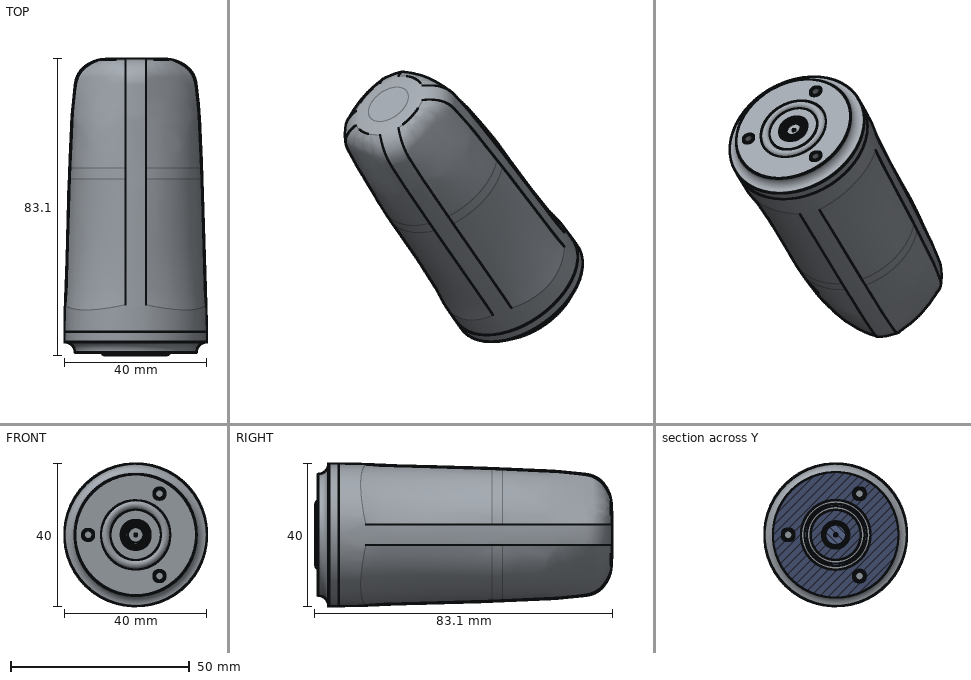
import cadquery as cq
import math


overall_length = 83.09
body_radius = 20.0
plate_face_y = 0.7
cap_flange_back_y = 3.95
ring_back_y = 6.7

waist_stations = [
    (15.5, 19.80, 19.50),
    (21.5, 19.52, 18.85),
    (28.0, 19.35, 18.45),
    (35.0, 19.17, 18.30),
    (42.0, 18.98, 18.38),
    (49.4, 18.73, 18.50),
]
nose_stations = [
    (52.4, 18.60, 18.42),
    (55.2, 18.49, 18.26),
    (58.0, 18.37, 18.02),
    (63.5, 18.13, 17.50),
    (69.0, 17.80, 16.60),
    (74.0, 17.30, 15.50),
    (78.0, 16.45, 14.50),
    (80.6, 14.50, 13.20),
]
nose_crown = (11.90, 82.2)
nose_flat_radius = 6.3
rib_half_width = 2.9
rib_edge_step = 0.1

waist_run_out = (10.0, 21.10, 20.35)
nose_run_out = (83.2, 9.00, 9.00)
hollow_cutter_radius = 30.0

cap_face_radius = 17.1
cap_edge_chamfer = 0.2
cap_cove_start_y = 1.0
cap_flange_face_y = 3.6
cap_flange_face_radius = 19.7
spigot_radius = 17.0

ring_chamfer = 0.15

o_ring_section = 2.65
o_ring_center_radius = 8.375

insert_count = 3
insert_circle_radius = 13.3
insert_radius = 1.7
insert_bore_radius = 1.25
insert_length = 5.0

well_radius = 3.75
well_mouth_radius = 4.2
connector_radius = 3.2
thread_root_radius = 2.8
thread_pitch = 0.7
thread_groove_count = 5
dielectric_radius = 2.2
dielectric_recess = 0.6
contact_hole_radius = 0.4
contact_hole_depth = 2.5
connector_face_y = plate_face_y
well_floor_y = 5.2


def disc(radius, y_start, y_end):
    """Solid cylinder about the Y axis."""
    plane = cq.Workplane("XZ", origin=(0, y_start, 0))
    return plane.circle(radius).extrude(y_start - y_end)


def spin(profile):
    """Turn a closed (radius, Y) profile around the Y axis."""
    return profile.revolve(360, (0, 0, 0), (0, 1, 0))


def hollow_section(y, rib_radius, depth):
    """Cutter outline at y: an arc from rib edge to rib edge, closed outside the shell."""
    reach = math.sqrt((rib_radius - rib_edge_step) ** 2 - rib_half_width**2)
    diagonal = depth * math.cos(math.pi / 4)
    return (
        cq.Workplane("XZ", origin=(0, y, 0))
        .moveTo(reach, rib_half_width)
        .threePointArc((diagonal, diagonal), (rib_half_width, reach))
        .lineTo(rib_half_width, hollow_cutter_radius)
        .lineTo(hollow_cutter_radius, hollow_cutter_radius)
        .lineTo(hollow_cutter_radius, rib_half_width)
        .close()
        .val()
    )


def hollow_cutter(stations):
    """Smooth loft through the cutter outlines, in the quarter between the +X and one Z rib."""
    return cq.Workplane(cq.Solid.makeLoft([hollow_section(*station) for station in stations]))


def make_shell():
    """Ribbed body: a turned blank, hollowed between its four ribs."""
    rib_points = [(rib_radius, y) for y, rib_radius, _ in waist_stations + nose_stations]
    blank = spin(
        cq.Workplane("XY")
        .moveTo(0, ring_back_y)
        .lineTo(body_radius, ring_back_y)
        .spline(
            rib_points + [nose_crown, (nose_flat_radius, overall_length)],
            tangents=[(0, 1), (-1, 0)],
            includeCurrent=True,
        )
        .lineTo(0, overall_length)
        .close()
    )
    waist = [waist_run_out] + waist_stations
    ridge = [waist_stations[-1], nose_stations[0]]
    nose = nose_stations + [nose_run_out]
    shell = blank
    for stations in (waist, ridge, nose):
        cutter = hollow_cutter(stations)
        for quarter in range(4):
            shell = shell.cut(cutter.rotate((0, 0, 0), (0, 1, 0), 90 * quarter))
    return shell


def make_trim_ring():
    ring = disc(body_radius, cap_flange_back_y, ring_back_y)
    ring = ring.faces(">Y").edges().chamfer(ring_chamfer)
    return ring.cut(disc(spigot_radius, cap_flange_back_y, ring_back_y))


def insert_places():
    for index in range(insert_count):
        angle = math.pi + 2 * math.pi * index / insert_count
        yield insert_circle_radius * math.cos(angle), insert_circle_radius * math.sin(angle)


def connector_well():
    mouth_depth = well_mouth_radius - well_radius
    return spin(
        cq.Workplane("XY")
        .moveTo(0, plate_face_y)
        .lineTo(well_mouth_radius, plate_face_y)
        .lineTo(well_radius, plate_face_y + mouth_depth)
        .lineTo(well_radius, well_floor_y)
        .lineTo(0, well_floor_y)
        .close()
    )


def o_ring_groove():
    inner = o_ring_center_radius - o_ring_section / 2
    outer = o_ring_center_radius + o_ring_section / 2
    core = disc(inner, plate_face_y, o_ring_section)
    return disc(outer, plate_face_y, o_ring_section).cut(core)


def make_cap():
    cap = spin(
        cq.Workplane("XY")
        .moveTo(0, plate_face_y)
        .lineTo(cap_face_radius - cap_edge_chamfer, plate_face_y)
        .lineTo(cap_face_radius, plate_face_y + cap_edge_chamfer)
        .lineTo(cap_face_radius, cap_cove_start_y)
        .tangentArcPoint((cap_flange_face_radius, cap_flange_face_y), relative=False)
        .lineTo(body_radius, cap_flange_face_y)
        .lineTo(body_radius, cap_flange_back_y)
        .lineTo(spigot_radius, cap_flange_back_y)
        .lineTo(spigot_radius, ring_back_y)
        .lineTo(0, ring_back_y)
        .close()
    )
    cap = cap.cut(o_ring_groove()).cut(connector_well())
    for x, z in insert_places():
        hole = disc(insert_radius, plate_face_y, plate_face_y + insert_length)
        cap = cap.cut(hole.translate((x, 0, z)))
    return cap


def make_o_ring():
    section_radius = o_ring_section / 2
    center = cq.Vector(0, section_radius, 0)
    axis = cq.Vector(0, 1, 0)
    return cq.Workplane(cq.Solid.makeTorus(o_ring_center_radius, section_radius, center, axis))


def make_insert(x, z):
    back_y = plate_face_y + insert_length
    bore = disc(insert_bore_radius, plate_face_y, back_y)
    return disc(insert_radius, plate_face_y, back_y).cut(bore).translate((x, 0, z))


def make_connector():
    connector = disc(connector_radius, connector_face_y, well_floor_y)
    for index in range(thread_groove_count):
        start = connector_face_y + thread_pitch * (index + 1)
        groove = spin(
            cq.Workplane("XY")
            .moveTo(connector_radius, start)
            .lineTo(thread_root_radius, start + thread_pitch / 2)
            .lineTo(connector_radius, start + thread_pitch)
            .close()
        )
        connector = connector.cut(groove)
    connector = connector.faces("<Y").edges().chamfer(connector_radius - thread_root_radius)
    dielectric_y = connector_face_y + dielectric_recess
    connector = connector.cut(disc(dielectric_radius, connector_face_y, dielectric_y))
    return connector.cut(disc(contact_hole_radius, dielectric_y, dielectric_y + contact_hole_depth))


shell = make_shell()
trim_ring = make_trim_ring()
cap = make_cap()
o_ring = make_o_ring()
inserts = [make_insert(x, z) for x, z in insert_places()]
connector = make_connector()

result = cq.Compound.makeCompound(
    [
        shell.val(),
        trim_ring.val(),
        cap.val(),
        o_ring.val(),
        *[insert.val() for insert in inserts],
        connector.val(),
    ]
)